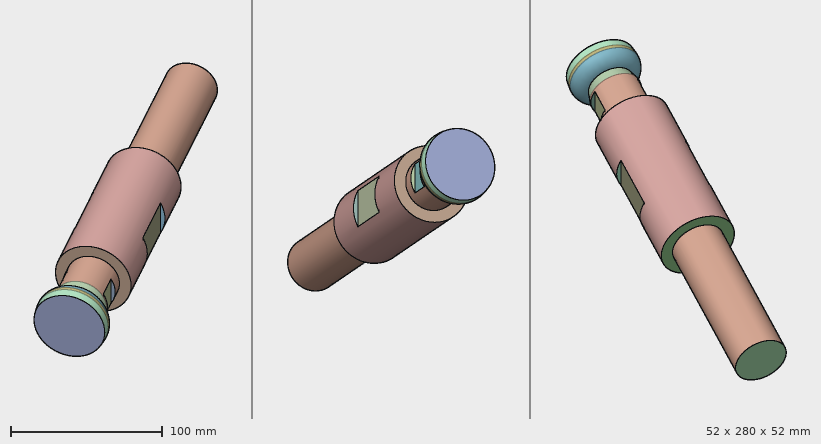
import cadquery as cq

total_length = 280.0
rod_diameter = 36.0
rod_radius = rod_diameter / 2
neck_radius = 16.0
head_diameter = 50.0
head_radius = head_diameter / 2
face_radius = 24.5
taper_end = 6.0
crown_start = 8.5
crown_radius = 11.0
neck_position = 18.0
shaft_start = 25.8
rod_flat_start = 27.5
rod_flat_length = 17.5
rod_flat_spacing = 30.2

sleeve_radius = 26.0
sleeve_start = 55.0
sleeve_length = 115.0
sleeve_flat_length = 40.5
sleeve_flat_spacing = 46.0

front = -total_length / 2


def cut_flats(body, radius, spacing, start, length):
    """Mill a pair of opposite flats, facing -X and +X."""
    depth = radius - spacing / 2
    for side in (-1, 1):
        cutter = cq.Workplane("XY").box(depth, length, 2 * radius).translate(
            (side * (spacing + depth) / 2, front + start + length / 2, 0)
        )
        body = body.cut(cutter)
    return body


def make_rod():
    """Turn the headed rod, then mill the wrench flats behind its neck."""
    profile = (
        cq.Workplane("XY")
        .moveTo(0, front)
        .lineTo(face_radius, front)
        .lineTo(head_radius, front + taper_end)
        .lineTo(head_radius, front + crown_start)
        .radiusArc((neck_radius, front + neck_position), -crown_radius)
        .lineTo(rod_radius, front + shaft_start)
        .lineTo(rod_radius, front + total_length)
        .lineTo(0, front + total_length)
        .close()
    )
    rod = profile.revolve(360, (0, 0, 0), (0, 1, 0))
    return cut_flats(rod, rod_radius, rod_flat_spacing, rod_flat_start, rod_flat_length)


def make_sleeve():
    """Bore a plain cylinder for the shaft and mill flats midway along it."""
    sleeve = (
        cq.Workplane("XZ", origin=(0, front + sleeve_start, 0))
        .circle(sleeve_radius)
        .circle(rod_radius)
        .extrude(-sleeve_length)
    )
    flat_start = sleeve_start + (sleeve_length - sleeve_flat_length) / 2
    return cut_flats(sleeve, sleeve_radius, sleeve_flat_spacing, flat_start, sleeve_flat_length)


rod = make_rod()
sleeve = make_sleeve()

result = cq.Compound.makeCompound([rod.val(), sleeve.val()])